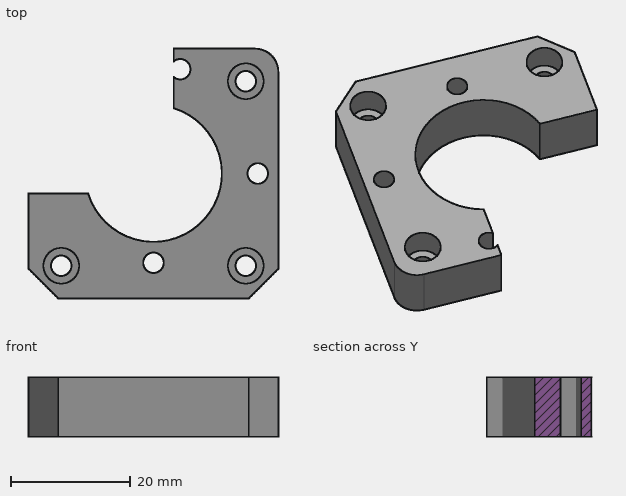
import cadquery as cq

side = 42.0
thickness = 10.0
half_side = side / 2

corner_chamfer = 5.0
corner_radius = 4.0
opening_edge = 3.35
bore_diameter = 22.95

hole_diameter = 3.4
counterbore_diameter = 6.0
counterbore_depth = thickness / 2
screw_offset = 15.5
screw_points = [
    (-screw_offset, -screw_offset),
    (screw_offset, -screw_offset),
    (screw_offset, screw_offset),
]
right_hole_point = (17.5, 0)
lower_hole_point = (0, -15.0)
notch_point = (4.5, 17.5)


def make_block():
    """Square block with two chamfered front corners and one rounded rear corner."""
    block = cq.Workplane("XY").rect(side, side).extrude(thickness)
    block = block.edges("|Z and <Y").chamfer(corner_chamfer)
    return block.edges("|Z and >(1, 1, 0)").fillet(corner_radius)


def make_opening():
    """Rectangular cutter that removes the rear left quarter of the block."""
    return (
        cq.Workplane("XY")
        .moveTo(-half_side, -opening_edge)
        .lineTo(opening_edge, -opening_edge)
        .lineTo(opening_edge, half_side)
        .lineTo(-half_side, half_side)
        .close()
        .extrude(thickness)
    )


def make_cylinders(points, diameter, bottom=0.0):
    """Vertical cutters from the given height up to the top face."""
    plane = cq.Workplane("XY").workplane(offset=bottom).pushPoints(points)
    return plane.circle(diameter / 2).extrude(thickness - bottom)


through_points = screw_points + [right_hole_point, lower_hole_point, notch_point]

result = (
    make_block()
    .cut(make_opening())
    .cut(make_cylinders([(0, 0)], bore_diameter))
    .cut(make_cylinders(through_points, hole_diameter))
    .cut(make_cylinders(screw_points, counterbore_diameter, thickness - counterbore_depth))
)